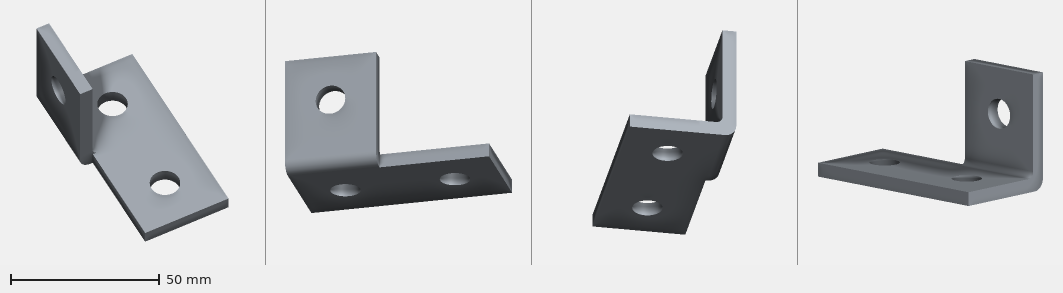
import cadquery as cq

thickness = 4.76
base_length = 69.86
width = 31.75
height = 40.48
hole_diameter = 10.3
outer_bend_radius = 3.97
inner_bend_radius = 2.1

outer_face_y = -thickness
edge_distance = width / 2
base_hole_x_positions = (edge_distance, base_length - edge_distance)
flange_hole_z = height - edge_distance


def make_bent_angle():
    """L-section along X, rounded inside and outside the bend."""
    outer_bend_start = outer_face_y + outer_bend_radius
    section = (
        cq.Workplane("YZ")
        .moveTo(width, 0)
        .lineTo(width, thickness)
        .lineTo(inner_bend_radius, thickness)
        .radiusArc((0, thickness + inner_bend_radius), inner_bend_radius)
        .lineTo(0, height)
        .lineTo(outer_face_y, height)
        .lineTo(outer_face_y, outer_bend_radius)
        .radiusArc((outer_bend_start, 0), -outer_bend_radius)
        .close()
    )
    return section.extrude(width)


def make_base():
    """Flat plate running the full length of the part."""
    return cq.Workplane("XY").box(base_length, width, thickness, centered=False)


def make_base_holes():
    """Cutters for the two vertical holes, centred across the base."""
    centers = [(x, edge_distance) for x in base_hole_x_positions]
    return cq.Workplane("XY").pushPoints(centers).circle(hole_diameter / 2).extrude(thickness)


def make_flange_hole():
    """Cutter for the hole through the upright flange."""
    return (
        cq.Workplane("XZ")
        .center(edge_distance, flange_hole_z)
        .circle(hole_diameter / 2)
        .extrude(thickness)
    )


bracket = make_bent_angle().union(make_base())
result = bracket.cut(make_base_holes()).cut(make_flange_hole())